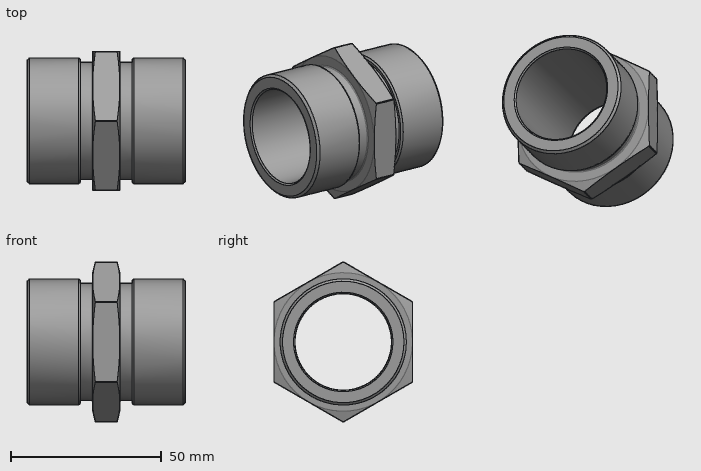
import cadquery as cq
import math

total_length = 52.5
thread_diameter = 41.91
neck_diameter = 39.0
bore_diameter = 32.0
thread_inner_end = 8.55
end_chamfer = 0.8
shoulder_chamfer = 0.6
bore_chamfer = 0.5

hex_width = 9.0
hex_across_flats = 46.1
hex_corner_diameter = 53.02
hex_face_diameter = 46.0
hex_chamfer_angle = 14.0
neck_fillet = 0.3

half_length = total_length / 2
half_hex = hex_width / 2
thread_radius = thread_diameter / 2
neck_radius = neck_diameter / 2
bore_radius = bore_diameter / 2


def revolve_about_x(profile):
    """Turn a closed profile drawn as (x, radius) about the X axis."""
    return profile.close().revolve(360, (0, 0, 0), (1, 0, 0))


def make_hex_collar():
    """Hexagon with coned sides and turned-down corners."""
    across_corners = hex_across_flats / math.cos(math.radians(30))
    hexagon = (
        cq.Workplane("YZ")
        .polygon(6, across_corners)
        .extrude(half_hex, both=True)
        .rotate((0, 0, 0), (1, 0, 0), 90)
    )
    face_radius = hex_face_diameter / 2
    corner_radius = hex_corner_diameter / 2
    cone_drop = (corner_radius - face_radius) * math.tan(math.radians(hex_chamfer_angle))
    half_rim = half_hex - cone_drop
    envelope = revolve_about_x(
        cq.Workplane("XY")
        .moveTo(-half_hex, 0)
        .lineTo(-half_hex, face_radius)
        .lineTo(-half_rim, corner_radius)
        .lineTo(half_rim, corner_radius)
        .lineTo(half_hex, face_radius)
        .lineTo(half_hex, 0)
    )
    return hexagon.intersect(envelope)


def make_threaded_end():
    """Right-hand half of the turned body: fillet, neck and chamfered thread cylinder."""
    fillet_rise = neck_fillet * (1 - math.cos(math.radians(45)))
    return revolve_about_x(
        cq.Workplane("XY")
        .lineTo(0, neck_radius + neck_fillet)
        .lineTo(half_hex, neck_radius + neck_fillet)
        .threePointArc(
            (half_hex + fillet_rise, neck_radius + fillet_rise),
            (half_hex + neck_fillet, neck_radius),
        )
        .lineTo(thread_inner_end, neck_radius)
        .lineTo(thread_inner_end, thread_radius - shoulder_chamfer)
        .lineTo(thread_inner_end + shoulder_chamfer, thread_radius)
        .lineTo(half_length - end_chamfer, thread_radius)
        .lineTo(half_length, thread_radius - end_chamfer)
        .lineTo(half_length, 0)
    )


def make_bore():
    """Through bore with a chamfer at each mouth."""
    mouth_radius = bore_radius + bore_chamfer
    straight_end = half_length - bore_chamfer
    return revolve_about_x(
        cq.Workplane("XY")
        .moveTo(-half_length, 0)
        .lineTo(-half_length, mouth_radius)
        .lineTo(-straight_end, bore_radius)
        .lineTo(straight_end, bore_radius)
        .lineTo(half_length, mouth_radius)
        .lineTo(half_length, 0)
    )


right_end = make_threaded_end()
left_end = right_end.mirror("YZ")
result = make_hex_collar().union(right_end).union(left_end).cut(make_bore())